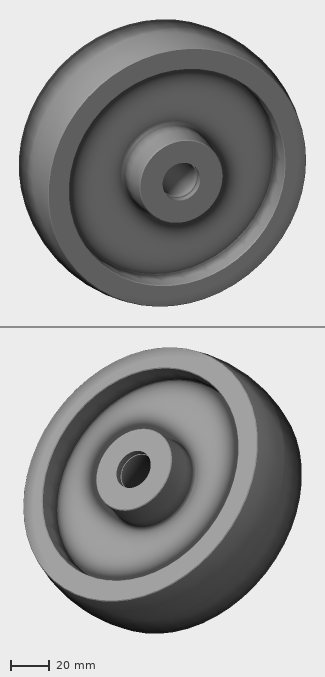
import cadquery as cq
import math

wheel_radius = 75.0
rim_width = 45.0
rim_edge_radius = 72.0
hub_length = 58.0
edge_break = 0.5

recess_mouth_radius = 60.0
recess_floor_radius = 59.0
web_thickness = 18.0

hub_end_radius = 23.2
hub_draft = math.radians(5)
root_fillet = 2.0

bushing_radius = 15.0
bushing_bore_radius = 10.5
bushing_length = 4.0
tube_bore_radius = 10.0

half_rim = rim_width / 2
half_hub = hub_length / 2
half_web = web_thickness / 2


def ring(length, outer_radius, inner_radius, start_x):
    """Plain ring along X, beginning at start_x."""
    return (
        cq.Workplane("YZ", origin=(start_x, 0, 0))
        .circle(outer_radius)
        .circle(inner_radius)
        .extrude(length)
    )


def make_wheel():
    """Crowned wheel with a recessed web and a tapered hub, bored through for the inserts."""
    hub_tip_x = half_hub - edge_break
    arc_center_x = half_web + root_fillet
    flank_rise = (hub_tip_x - arc_center_x) * math.tan(hub_draft)
    arc_center_radius = hub_end_radius + flank_rise + root_fillet / math.cos(hub_draft)

    def fillet_point(angle):
        """Point on the fillet; angle 0 faces the axis and 90 degrees faces the web."""
        return (
            arc_center_x - root_fillet * math.sin(angle),
            arc_center_radius - root_fillet * math.cos(angle),
        )

    flank_end_angle = hub_draft
    web_end_angle = math.pi / 2
    fillet_middle_angle = (flank_end_angle + web_end_angle) / 2

    half_section = (
        cq.Workplane("XY")
        .moveTo(0, bushing_radius)
        .lineTo(half_hub, bushing_radius)
        .lineTo(half_hub, hub_end_radius - edge_break)
        .lineTo(hub_tip_x, hub_end_radius)
        .lineTo(*fillet_point(flank_end_angle))
        .threePointArc(fillet_point(fillet_middle_angle), fillet_point(web_end_angle))
        .lineTo(half_web, recess_floor_radius - edge_break)
        .lineTo(half_web + edge_break, recess_floor_radius)
        .lineTo(half_rim - edge_break, recess_mouth_radius)
        .lineTo(half_rim, recess_mouth_radius + edge_break)
        .lineTo(half_rim, rim_edge_radius - edge_break)
        .lineTo(half_rim - edge_break, rim_edge_radius)
    )
    crown_half_width = half_rim - edge_break
    crown_rise = wheel_radius - rim_edge_radius
    crown_arc_radius = (crown_half_width**2 + crown_rise**2) / (2 * crown_rise)
    middle_x = crown_half_width / 2
    middle_radius = wheel_radius - crown_arc_radius + math.sqrt(crown_arc_radius**2 - middle_x**2)
    half_wheel = (
        half_section.threePointArc((middle_x, middle_radius), (0, wheel_radius))
        .close()
        .revolve(360, (0, 0, 0), (1, 0, 0))
    )
    return half_wheel.union(half_wheel.mirror("YZ"))


def make_bushing(start_x):
    """Bushing flush with one end of the hub."""
    return ring(bushing_length, bushing_radius, bushing_bore_radius, start_x)


def make_spacer_tube():
    """Tube filling the hub bore between the two bushings, with a slightly smaller bore."""
    tube_length = hub_length - 2 * bushing_length
    return ring(tube_length, bushing_radius, tube_bore_radius, -tube_length / 2)


wheel = make_wheel()
spacer_tube = make_spacer_tube()
bushings = []
for start_x in (-half_hub, half_hub - bushing_length):
    bushings.append(make_bushing(start_x))

result = cq.Compound.makeCompound(
    [wheel.val(), spacer_tube.val(), *[bushing.val() for bushing in bushings]]
)